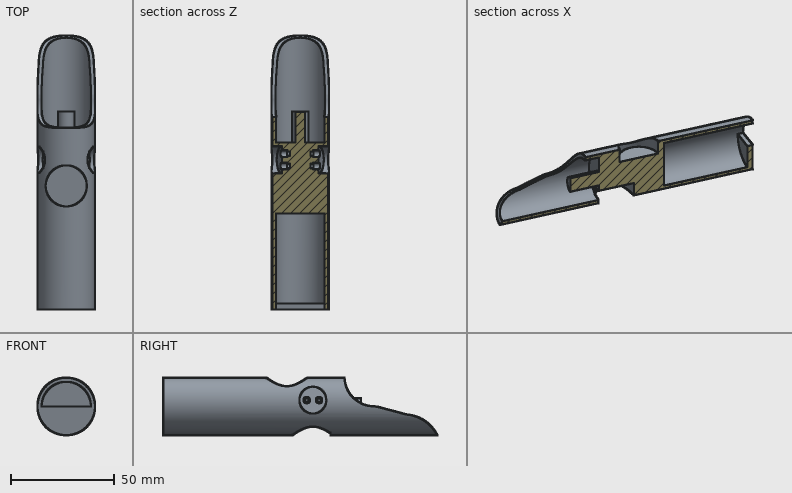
import cadquery as cq
import math

length = 133.0
outer_diameter = 28.0
bore_diameter = 24.0
outer_radius = outer_diameter / 2
y_back = -length / 2
y_tip = length / 2

plug_front_y = 14.6
plug_back_y = -20.0
end_wall_thickness = 2.9
spigot_diameter = 8.0
spigot_end_y = 29.5

finger_diameter = 20.0
finger_floor_height = 7.0
top_recess_y = -6.5
side_recess_y = 6.1
side_recess_z = 3.0
side_recess_diameter = 13.0
side_floor_x = 9.0
side_floor_tilt = 20.0

contact_spacing = 6.0
contact_outer_diameter = 3.0
contact_inner_diameter = 2.0
contact_outer_depth = 2.7
contact_inner_depth = 4.0

throat_radius = 14.1
throat_low_y = 35.6
throat_low_z = 0.1
ramp_top_y = 37.6
ramp_top_z = -0.1
ramp_low_y = 51.6
ramp_low_z = -3.9
lip_mid_y = 60.9
lip_mid_z = -7.3


def y_cylinder(diameter, y_start, y_end):
    """Cylinder on the tube axis between two Y positions."""
    sketch = cq.Workplane("XZ", origin=(0, y_start, 0)).circle(diameter / 2)
    return sketch.extrude(y_start - y_end)


def x_cylinder(diameter, y, z, x_start, x_end):
    """Cylinder parallel to X between two X positions."""
    sketch = cq.Workplane("YZ", origin=(x_start, 0, 0)).center(y, z).circle(diameter / 2)
    return sketch.extrude(x_end - x_start)


def hollow_tube():
    body = y_cylinder(outer_diameter, y_back, y_tip)
    body = body.cut(y_cylinder(bore_diameter, plug_front_y, y_tip))
    body = body.cut(y_cylinder(bore_diameter, y_back + end_wall_thickness, plug_back_y))
    upper_half = cq.Workplane("XY").box(
        outer_diameter, length, outer_radius, centered=(True, True, False)
    )
    mouth = y_cylinder(bore_diameter, y_back, y_back + end_wall_thickness)
    return body.cut(mouth.intersect(upper_half))


def scoop_cutter():
    """Everything above the curved scoop edge, across the full width."""
    throat_center_z = throat_low_z + throat_radius
    throat_top_offset = math.sqrt(throat_radius**2 - (outer_radius - throat_center_z) ** 2)
    diagonal = throat_radius * math.sqrt(0.5)
    profile = (
        cq.Workplane("YZ")
        .moveTo(throat_low_y - throat_top_offset, outer_radius)
        .threePointArc(
            (throat_low_y - diagonal, throat_center_z - diagonal),
            (throat_low_y, throat_low_z),
        )
        .lineTo(ramp_top_y, ramp_top_z)
        .lineTo(ramp_low_y, ramp_low_z)
        .threePointArc((lip_mid_y, lip_mid_z), (y_tip, -outer_radius))
        .lineTo(y_tip, outer_radius)
        .close()
    )
    return profile.extrude(outer_radius, both=True)


def finger_recess(y, side):
    """Flat-bottomed recess from the top (side = 1) or the bottom (side = -1)."""
    plane = cq.Workplane("XY", origin=(0, y, side * finger_floor_height))
    return plane.circle(finger_diameter / 2).extrude(side * outer_radius)


def side_recess(side):
    """Recess on one flank with a tilted floor and two stepped holes."""
    y, z = side_recess_y, side_recess_z
    floor_center = side * side_floor_x
    cutter = x_cylinder(side_recess_diameter, y, z, 0, side * outer_radius)
    beyond_floor = (
        cq.Workplane("YZ")
        .rect(outer_diameter, 2 * outer_diameter)
        .extrude(side * outer_diameter)
        .rotate((0, 0, 0), (0, 1, 0), -side * side_floor_tilt)
        .translate((floor_center, y, z))
    )
    cutter = cutter.intersect(beyond_floor)
    for offset in (-contact_spacing / 2, contact_spacing / 2):
        for diameter, depth in (
            (contact_outer_diameter, contact_outer_depth),
            (contact_inner_diameter, contact_inner_depth),
        ):
            bottom = floor_center - side * depth
            start = floor_center + side * diameter / 2
            cutter = cutter.union(x_cylinder(diameter, y + offset, z, start, bottom))
    return cutter


result = hollow_tube().cut(scoop_cutter())
result = result.cut(finger_recess(top_recess_y, 1))

bottom_recess = finger_recess(side_recess_y, -1)
result = result.cut(bottom_recess.intersect(y_cylinder(2 * outer_diameter, y_back, plug_front_y)))

for flank in (-1, 1):
    result = result.cut(side_recess(flank))

result = result.union(y_cylinder(spigot_diameter, plug_front_y, spigot_end_y))